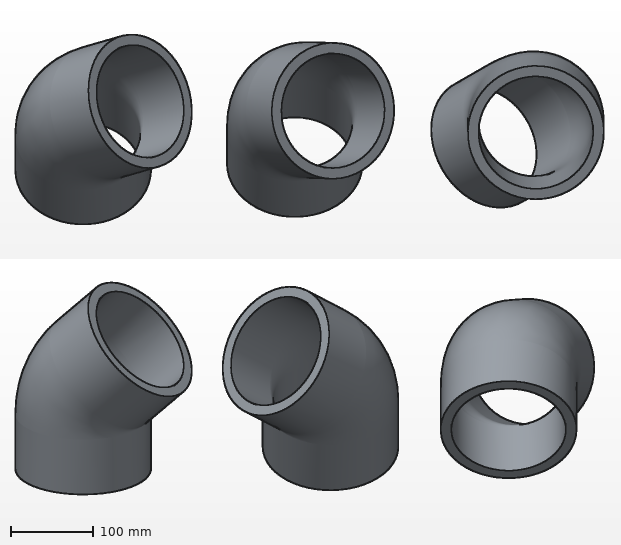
import cadquery as cq
import math

outer_diameter = 165.5
wall = 13.0
bend_angle = 45
spigot_length = 72.4

outer_inside_radius = 1.0
bore_inside_radius = 3.9

bore_diameter = outer_diameter - 2 * wall
outer_bend_radius = outer_diameter / 2 + outer_inside_radius
bore_bend_radius = bore_diameter / 2 + bore_inside_radius

tangent_ratio = math.tan(math.radians(bend_angle / 2))
end_to_corner = spigot_length + outer_bend_radius * tangent_ratio


def elbow_body(diameter, bend_radius):
    """Solid rod with two straight legs joined by a bend of the given centreline radius."""
    leg_length = end_to_corner - bend_radius * tangent_ratio
    lower_leg = cq.Workplane("XY").circle(diameter / 2).extrude(leg_length)
    bend = (
        cq.Workplane("XY", origin=(0, 0, leg_length))
        .circle(diameter / 2)
        .revolve(bend_angle, (bend_radius, 0), (bend_radius, 1))
    )
    upper_leg = lower_leg.translate((0, 0, leg_length)).rotate(
        (bend_radius, 0, leg_length), (bend_radius, 1, leg_length), bend_angle
    )
    return lower_leg.union(bend).union(upper_leg)


outer_body = elbow_body(outer_diameter, outer_bend_radius)
bore = elbow_body(bore_diameter, bore_bend_radius)
result = outer_body.cut(bore)